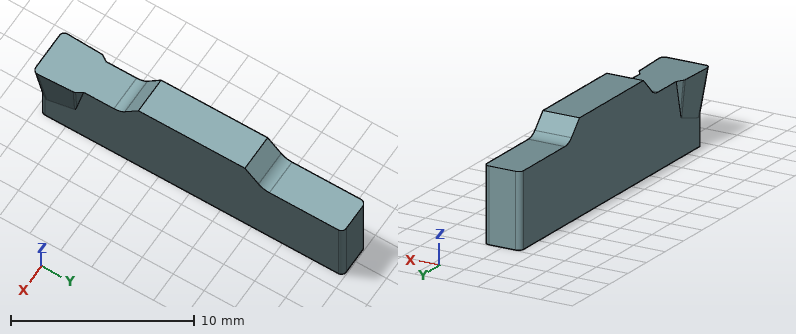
import cadquery as cq
import math

length = 19.85
height = 5.75
land_height = 4.59
body_width = 2.32
body_front = 0.25
corner_radius = 0.32

hump_front = 6.61
hump_rear = 13.5
hump_slope_run = height - land_height
hump_foot_radius = 1.0

search_margin = 0.2

edge_width = 3.08
head_shoulder_width = 2.88
head_shoulder_y = 2.64
shoulder_angle = 33.0
shoulder_radius = 0.25
clearance_angle = 7.0
head_depth = 3.18
root_half_width = 0.8


def make_body():
    """Straight bar with a 45 degree hump and rounded vertical corners."""
    profile = [
        (body_front, 0),
        (length, 0),
        (length, land_height),
        (hump_rear + hump_slope_run, land_height),
        (hump_rear, height),
        (hump_front, height),
        (hump_front - hump_slope_run, land_height),
        (body_front, land_height),
    ]
    body = cq.Workplane("YZ").polyline(profile).close().extrude(body_width / 2, both=True)
    hump_feet = cq.selectors.BoxSelector(
        (-body_width, hump_front - hump_slope_run - search_margin, land_height - search_margin),
        (body_width, hump_rear + hump_slope_run + search_margin, land_height + search_margin),
    )
    body = body.edges(hump_feet).fillet(hump_foot_radius)
    return body.edges("|Z").fillet(corner_radius)


def slanted_edges_near(y):
    """Select the slanted head edges whose midpoints lie close to the given y."""
    search_distance = 0.6
    return cq.selectors.BoxSelector(
        (-edge_width, y - search_distance, land_height - head_depth + search_margin),
        (edge_width, y + search_distance, land_height - search_margin),
    )


def make_head():
    """Tapered head whose clearance faces run down into the body."""
    half_edge = edge_width / 2
    half_shoulder = head_shoulder_width / 2
    root_run = (half_shoulder - root_half_width) / math.tan(math.radians(shoulder_angle))
    root_y = head_shoulder_y + root_run
    right_side = [
        (half_edge, 0),
        (half_shoulder, head_shoulder_y),
        (root_half_width, root_y),
    ]
    left_side = [(-x, y) for x, y in reversed(right_side)]
    head = (
        cq.Workplane("XY", origin=(0, 0, land_height))
        .polyline(right_side + left_side)
        .close()
        .extrude(-head_depth, taper=clearance_angle)
    )
    head = head.edges(slanted_edges_near(0)).fillet(corner_radius)
    return head.edges(slanted_edges_near(head_shoulder_y)).fillet(shoulder_radius)


result = make_body().union(make_head())